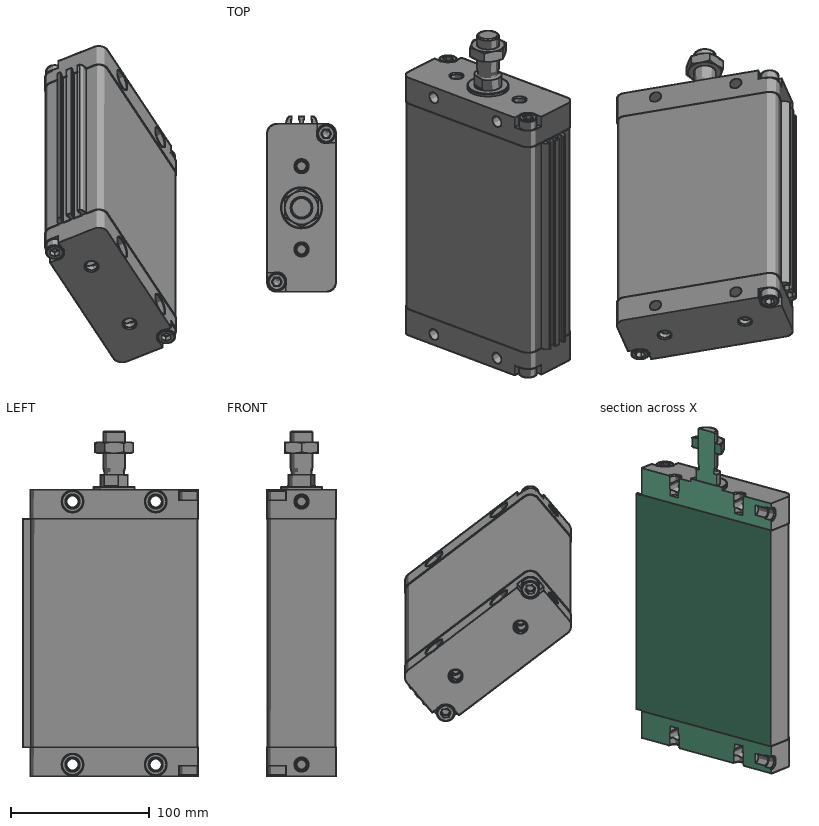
import cadquery as cq
import math

cap_width = 50.0
cap_depth = 121.3
cap_height = 21.0
cap_corner_radius = 7.2
body_height = 206.7
total_height = 249.0

barrel_inset = 0.5
barrel_height = body_height - 2 * cap_height
barrel_corner_radius = cap_corner_radius - barrel_inset

rail_height = 5.2
rail_top = cap_depth / 2 + rail_height
center_stem_width = 2.7
center_head_width = 4.0
rail_head_thickness = 2.2
side_rail_inner_x = 7.5
side_rail_hook_x = 7.0
side_rail_top_x = 9.0
side_rail_bulge_x = 10.5
side_rail_bulge_height = 3.2
side_rail_outer_x = 11.2

hole_pitch = 60.0
hole_inset = 8.5
mount_diameter = 8.5
mount_mouth_diameter = 10.5
counterbore_diameter = 15.0
counterbore_mouth_diameter = 16.0
counterbore_depth = 6.5
thread_diameter = 8.5
thread_mouth_diameter = 10.5
thread_step_depth = 6.0
thread_core_diameter = 7.0
thread_depth = 15.0

screw_inset = cap_corner_radius
pocket_diameter = 14.0
pocket_slot_width = 13.0
pocket_depth = 7.7
head_diameter = 13.0
head_height = 7.5
head_chamfer = 0.7
socket_width = 6.5
socket_depth = 5.0
socket_point_diameter = 6.0
socket_point_depth = 1.5

collar_diameter = 30.0
collar_height = 2.2
collar_chamfer = 0.5

rod_diameter = 20.0
flats_width = 17.0
flats_angle = -15.0
foot_height = 0.5
shoulder_z = 217.5
neck_diameter = 14.5
neck_fillet = 0.5
neck_top_z = 219.4
rod_thread_diameter = 16.0
rod_thread_bottom_z = 222.4
rod_tip_chamfer = 1.0

nut_width = 24.0
nut_height = 8.0
nut_bottom_z = 233.0
nut_chamfer_height = 0.7


def rounded_block(width, depth, height, radius):
    """Upright block with rounded vertical edges, standing on Z = 0."""
    block = cq.Workplane("XY").box(width, depth, height, centered=(True, True, False))
    return block.edges("|Z").fillet(radius)


def revolved(profile):
    """Solid of revolution around Z of a closed (radius, height) outline."""
    return cq.Workplane("XZ").polyline(profile).close().revolve(360, (0, 0), (0, 1))


def threaded_hole():
    """Stepped blind hole tool along -Z from the origin, with a 45 degree countersink at its mouth."""
    radius = thread_diameter / 2
    mouth_radius = thread_mouth_diameter / 2
    core_radius = thread_core_diameter / 2
    return revolved([
        (0, 0), (mouth_radius, 0), (radius, radius - mouth_radius), (radius, -thread_step_depth),
        (core_radius, -thread_step_depth), (core_radius, -thread_depth), (0, -thread_depth),
    ])


def mounting_hole():
    """Counterbored through-hole tool along -Z from the origin, both steps countersunk."""
    radius = mount_diameter / 2
    mouth_radius = mount_mouth_diameter / 2
    bore_radius = counterbore_diameter / 2
    bore_mouth_radius = counterbore_mouth_diameter / 2
    mouth_bottom = radius - mouth_radius - counterbore_depth
    return revolved([
        (0, 0), (bore_mouth_radius, 0), (bore_radius, bore_radius - bore_mouth_radius),
        (bore_radius, -counterbore_depth), (mouth_radius, -counterbore_depth),
        (radius, mouth_bottom), (radius, -cap_width), (0, -cap_width),
    ])


def screw_pocket():
    """Corner recess below Z = 0, centred on the screw axis and open towards -X and -Y."""
    pocket = cq.Workplane("XY").circle(pocket_diameter / 2).extrude(-pocket_depth)
    reach = 2 * screw_inset
    for angle in (180, 270):
        slot = cq.Workplane("XY").box(reach, pocket_slot_width, pocket_depth, centered=(False, True, False))
        slot = slot.translate((0, 0, -pocket_depth))
        pocket = pocket.union(slot.rotate((0, 0, 0), (0, 0, 1), angle))
    return pocket


def screw_head():
    """Socket head standing on the pocket floor."""
    head = cq.Workplane("XY").circle(head_diameter / 2).extrude(head_height)
    head = head.faces(">Z").edges().chamfer(head_chamfer)
    corner_diameter = socket_width / math.cos(math.pi / 6)
    socket = (
        cq.Workplane("XY")
        .workplane(offset=head_height - socket_depth)
        .polygon(6, corner_diameter)
        .extrude(socket_depth)
    )
    point = revolved([
        (0, head_height - socket_depth - socket_point_depth),
        (socket_point_diameter / 2, head_height - socket_depth),
        (0, head_height - socket_depth),
    ])
    return head.cut(socket).cut(point).translate((0, 0, -pocket_depth))


def make_cap():
    """End cap with its outer face on Z = 0, extending down to -cap_height."""
    cap = rounded_block(cap_width, cap_depth, cap_height, cap_corner_radius).translate((0, 0, -cap_height))

    screw_x = screw_inset - cap_width / 2
    screw_y = screw_inset - cap_depth / 2
    for angle in (0, 180):
        pocket = screw_pocket().translate((screw_x, screw_y, 0)).rotate((0, 0, 0), (0, 0, 1), angle)
        head = screw_head().translate((screw_x, screw_y, 0)).rotate((0, 0, 0), (0, 0, 1), angle)
        cap = cap.cut(pocket).union(head)

    for y in (-hole_pitch / 2, hole_pitch / 2):
        mount = mounting_hole().rotate((0, 0, 0), (0, 1, 0), -90)
        cap = cap.cut(mount.translate((-cap_width / 2, y, -hole_inset)))
        cap = cap.cut(threaded_hole().translate((0, y, 0)))

    port = threaded_hole().rotate((0, 0, 0), (1, 0, 0), 90)
    return cap.cut(port.translate((0, -cap_depth / 2, -hole_inset)))


def make_front_cap():
    """Bearing cap: the end cap with a collar around the rod."""
    collar = cq.Workplane("XY").circle(collar_diameter / 2).extrude(collar_height)
    collar = collar.faces(">Z").edges().chamfer(collar_chamfer)
    return make_cap().union(collar).translate((0, 0, body_height))


def make_rear_cap():
    """Plain end cap, mirrored so that its outer face is the underside."""
    return make_cap().mirror("XY")


def make_barrel():
    """Barrel with a T-shaped centre rail between two hooked, rounded side rails."""
    depth = cap_depth - 2 * barrel_inset
    barrel = rounded_block(cap_width - 2 * barrel_inset, depth, barrel_height, barrel_corner_radius)
    base = depth / 2
    head_y = rail_top - rail_head_thickness
    stem = center_stem_width / 2
    head = center_head_width / 2
    center_profile = [
        (-stem, base), (-stem, head_y), (-head, head_y), (-head, rail_top),
        (head, rail_top), (head, head_y), (stem, head_y), (stem, base),
    ]
    side_rail = (
        cq.Workplane("XY")
        .moveTo(side_rail_inner_x, base)
        .lineTo(side_rail_inner_x, head_y)
        .lineTo(side_rail_hook_x, head_y)
        .lineTo(side_rail_hook_x, rail_top)
        .lineTo(side_rail_top_x, rail_top)
        .threePointArc(
            (side_rail_bulge_x, cap_depth / 2 + side_rail_bulge_height),
            (side_rail_outer_x, base),
        )
        .close()
        .extrude(barrel_height)
    )
    barrel = barrel.union(cq.Workplane("XY").polyline(center_profile).close().extrude(barrel_height))
    barrel = barrel.union(side_rail).union(side_rail.mirror("YZ"))
    return barrel.translate((0, 0, cap_height))


def make_rod():
    """Rod end with two wrench flats, a filleted thread undercut and a threaded stud."""
    base_z = body_height + collar_height
    flats_z = base_z + foot_height
    base = cq.Workplane("XY", origin=(0, 0, base_z)).circle(rod_diameter / 2).extrude(shoulder_z - base_z)
    for side in (0, 180):
        flat = (
            cq.Workplane("XY", origin=(0, 0, flats_z))
            .center(flats_width / 2 + rod_diameter / 2, 0)
            .rect(rod_diameter, rod_diameter)
            .extrude(shoulder_z - flats_z)
        )
        base = base.cut(flat.rotate((0, 0, 0), (0, 0, 1), flats_angle + side))

    thread_radius = rod_thread_diameter / 2
    neck_radius = neck_diameter / 2
    fillet_offset = neck_fillet * (1 - math.sqrt(0.5))
    stud = (
        cq.Workplane("XZ")
        .moveTo(0, shoulder_z)
        .lineTo(neck_radius + neck_fillet, shoulder_z)
        .threePointArc(
            (neck_radius + fillet_offset, shoulder_z + fillet_offset),
            (neck_radius, shoulder_z + neck_fillet),
        )
        .lineTo(neck_radius, neck_top_z)
        .lineTo(thread_radius, rod_thread_bottom_z)
        .lineTo(thread_radius, total_height - rod_tip_chamfer)
        .lineTo(thread_radius - rod_tip_chamfer, total_height)
        .lineTo(0, total_height)
        .close()
        .revolve(360, (0, 0), (0, 1))
    )
    return base.union(stud)


def make_nut():
    """Hexagon nut with flats facing +X and -X, its corners turned down at both ends."""
    corner_diameter = nut_width / math.cos(math.pi / 6)
    half_sector = 180 / 6
    hexagon = cq.Workplane("XY").polygon(6, corner_diameter).extrude(nut_height)
    hexagon = hexagon.rotate((0, 0, 0), (0, 0, 1), half_sector)
    face_radius = nut_width / 2
    corner_radius = corner_diameter / 2
    turned = revolved([
        (0, 0), (face_radius, 0), (corner_radius, nut_chamfer_height),
        (corner_radius, nut_height - nut_chamfer_height), (face_radius, nut_height), (0, nut_height),
    ])
    bore = cq.Workplane("XY").circle(rod_thread_diameter / 2).extrude(nut_height)
    return hexagon.intersect(turned).cut(bore).translate((0, 0, nut_bottom_z))


front_cap = make_front_cap()
rear_cap = make_rear_cap()
barrel = make_barrel()
rod = make_rod()
nut = make_nut()

result = cq.Compound.makeCompound(
    [front_cap.val(), rear_cap.val(), barrel.val(), rod.val(), nut.val()]
)